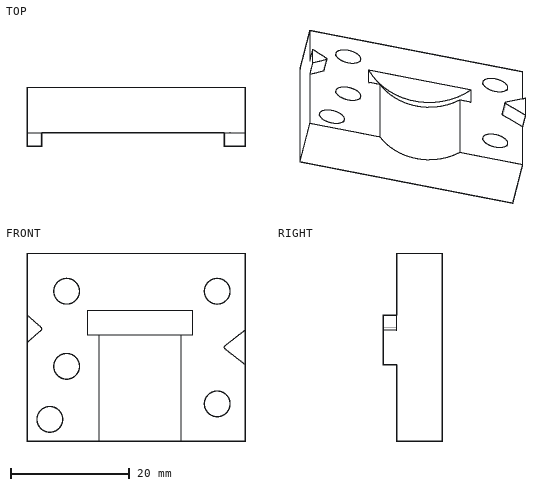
import cadquery as cq
import math

plate_width = 36.83
plate_height = 31.75
plate_depth = 7.7

hole_diameter = 4.3
left_hole_x = 6.65
right_hole_x = 32.08
top_hole_z = 25.35
hole_centres = [
    (left_hole_x, top_hole_z),
    (left_hole_x, 12.67),
    (3.83, 3.72),
    (right_hole_x, top_hole_z),
    (right_hole_x, 6.35),
]

recess_axis_x = 19.05
recess_axis_offset = 7.22
groove_width = 13.8
collar_width = 17.7
collar_bottom = 17.95
collar_top = 22.1

tab_projection = 2.3
tip_radius = 0.33
left_tab_reach = 2.45
left_tab_height = 4.65
left_tab_z = 19.0
right_tab_reach = 3.57
right_tab_height = 5.9
right_tab_z = 15.87


def recess_cutter(mouth_width, bottom, top):
    """Vertical cylinder that opens the front face to the given width."""
    radius = math.hypot(recess_axis_offset, mouth_width / 2)
    return (
        cq.Workplane("XY", origin=(recess_axis_x, -recess_axis_offset, bottom))
        .circle(radius)
        .extrude(top - bottom)
    )


def side_tab(edge_x, direction, reach, height, centre_z):
    """Triangular tab with a rounded tip pointing inward from a plate side."""
    half_height = height / 2
    base_to_centre = reach - tip_radius
    corner_to_centre = math.hypot(base_to_centre, half_height)
    corner_angle = math.atan2(base_to_centre, half_height)
    normal_angle = corner_angle + math.asin(tip_radius / corner_to_centre)
    tangent_x = edge_x + direction * (base_to_centre + tip_radius * math.cos(normal_angle))
    tangent_z = tip_radius * math.sin(normal_angle)
    return (
        cq.Workplane("XZ")
        .moveTo(edge_x, centre_z - half_height)
        .lineTo(tangent_x, centre_z - tangent_z)
        .threePointArc((edge_x + direction * reach, centre_z), (tangent_x, centre_z + tangent_z))
        .lineTo(edge_x, centre_z + half_height)
        .close()
        .extrude(tab_projection)
    )


plate = cq.Workplane("XY").box(plate_width, plate_depth, plate_height, centered=False)
holes = cq.Workplane("XZ").pushPoints(hole_centres).circle(hole_diameter / 2).extrude(-plate_depth)
plate = plate.cut(holes)

plate = plate.cut(recess_cutter(groove_width, 0, collar_bottom))
plate = plate.cut(recess_cutter(collar_width, collar_bottom, collar_top))

left_tab = side_tab(0, 1, left_tab_reach, left_tab_height, left_tab_z)
right_tab = side_tab(plate_width, -1, right_tab_reach, right_tab_height, right_tab_z)
result = plate.union(left_tab).union(right_tab)